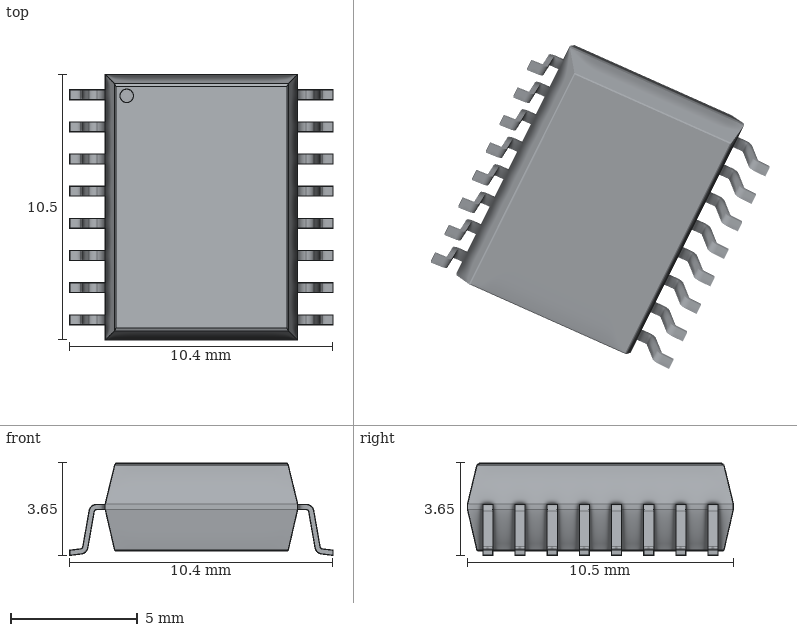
import cadquery as cq
import math

body_width = 7.6
body_length = 10.5
body_bottom = 0.17
body_top = 3.65
belt_lip = 0.02
side_inset = 0.37
top_bevel_height = 0.08
top_bevel_inset_x = 0.05
top_bevel_inset_y = 0.11
bottom_bevel_height = 0.04
bottom_bevel_inset = 0.05

lead_count = 8
lead_pitch = 1.27
lead_width = 0.4
lead_thickness = 0.21
lead_span = 10.4
lead_top = 2.02
leg_top_x = 4.305
leg_tilt = 10.0
foot_tilt = 7.0
bend_inner_radius = 0.1
lead_embed = 0.3

mark_diameter = 0.53
mark_depth = 0.02
mark_x = -2.95
mark_y = 4.4

belt_top = lead_top + belt_lip
belt_bottom = lead_top - lead_thickness


def frustum(z_low, inset_low, z_high, inset_high):
    """Rectangular block between two levels, each given its (X, Y) inset from the belt."""
    low_x, low_y = inset_low
    high_x, high_y = inset_high
    return (
        cq.Workplane("XY", origin=(0, 0, z_low))
        .rect(body_width - 2 * low_x, body_length - 2 * low_y)
        .workplane(offset=z_high - z_low)
        .rect(body_width - 2 * high_x, body_length - 2 * high_y)
        .loft(ruled=True)
    )


def make_body():
    belt = (0, 0)
    shoulder = (side_inset, side_inset)
    top_face = (side_inset + top_bevel_inset_x, side_inset + top_bevel_inset_y)
    bottom_face = (side_inset + bottom_bevel_inset, side_inset + bottom_bevel_inset)
    upper_edge = body_top - top_bevel_height
    lower_edge = body_bottom + bottom_bevel_height

    body = frustum(belt_bottom, belt, belt_top, belt)
    body = body.union(frustum(belt_top, belt, upper_edge, shoulder))
    body = body.union(frustum(upper_edge, shoulder, body_top, top_face))
    body = body.union(frustum(lower_edge, shoulder, belt_bottom, belt))
    return body.union(frustum(body_bottom, bottom_face, lower_edge, shoulder))


def cut_pin_one_mark(body):
    mark = (
        cq.Workplane("XY", origin=(mark_x, mark_y, body_top - mark_depth))
        .circle(mark_diameter / 2)
        .extrude(mark_depth)
    )
    return body.cut(mark)


def make_lead():
    """One lead on the +X side, centred on Y = 0."""
    tip_x = lead_span / 2
    leg_slope = math.tan(math.radians(leg_tilt))
    foot_slope = math.tan(math.radians(foot_tilt))
    half = lead_thickness / 2
    leg_shift = half / math.cos(math.radians(leg_tilt))
    foot_shift = half / math.cos(math.radians(foot_tilt))
    shoulder_z = lead_top - half

    def edge_points(side):
        """Corners of the upper (side = 1) or lower (side = -1) face of the lead."""
        top_z = shoulder_z + side * half
        leg_x = leg_top_x + side * leg_shift + leg_slope * (shoulder_z - top_z)
        tip_z = foot_shift + side * foot_shift
        drop = (top_z - tip_z - foot_slope * (tip_x - leg_x)) / (1 - foot_slope * leg_slope)
        bend_x = leg_x + leg_slope * drop
        return (leg_x, top_z), (bend_x, top_z - drop), (tip_x, tip_z)

    upper_top, upper_foot, upper_tip = edge_points(1)
    lower_top, lower_foot, lower_tip = edge_points(-1)
    root_x = body_width / 2 - lead_embed
    outline = [
        (root_x, lead_top),
        upper_top,
        upper_foot,
        upper_tip,
        lower_tip,
        lower_foot,
        lower_top,
        (root_x, lead_top - lead_thickness),
    ]
    lead = (
        cq.Workplane("XZ", origin=(0, lead_width / 2, 0))
        .polyline(outline)
        .close()
        .extrude(lead_width)
    )

    def round_bends(solid, corners, radius):
        for x, z in corners:
            nearest = cq.selectors.NearestToPointSelector((x, 0, z))
            solid = solid.edges("|Y").edges(nearest).fillet(radius)
        return solid

    lead = round_bends(lead, [upper_top, lower_foot], bend_inner_radius + lead_thickness)
    return round_bends(lead, [lower_top, upper_foot], bend_inner_radius)


def add_leads(body):
    right_lead = make_lead()
    left_lead = right_lead.mirror("YZ")
    for index in range(lead_count):
        y = (index - (lead_count - 1) / 2) * lead_pitch
        body = body.union(right_lead.translate((0, y, 0)))
        body = body.union(left_lead.translate((0, y, 0)))
    return body


result = add_leads(cut_pin_one_mark(make_body()))